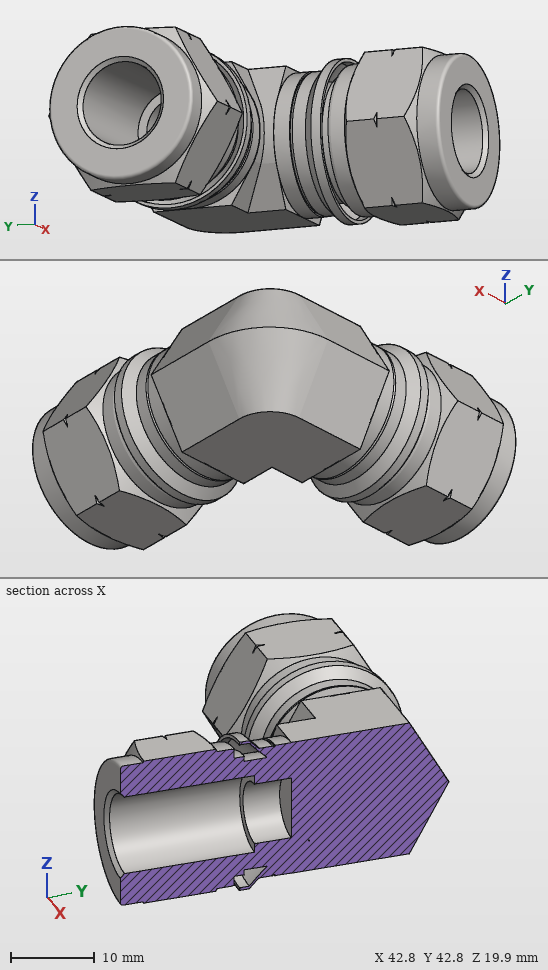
import cadquery as cq
import math

overall_size = 42.8
nut_flats = 19.05
nut_corner_radius = nut_flats / math.sqrt(3)
arm_length = overall_size - nut_corner_radius

body_flats = 17.55
body_corner_radius = body_flats / math.sqrt(3)
body_half_length = 10.0
shank_diameter = 17.5
inner_rounding_diameter = 17.65
inner_trim = 8.0

nut_face_end = 3.0
nut_hex_end = 12.2
nut_tail_taper_start = 14.15
nut_tail_end = 14.55
collar_start = 15.2
neck_end = 15.85
collar_rim_end = 16.45
groove_start = 19.4
groove_width = 0.35
groove_depth = 0.15
body_face = arm_length - body_half_length

nut_face_diameter = 18.7
nut_tail_diameter = 18.4
neck_diameter = 15.9
undercut_diameter = 14.6
collar_diameter = 19.9
collar_recess_diameter = 19.05
ring_diameter = 17.4
nut_face_round = 0.43
nut_tail_taper = 0.1

hex_chamfer_angle = 30
mark_width = 0.4
mark_depth = 0.45

socket_diameter = 10.2
socket_depth = 17.1
bore_diameter = 7.9
bore_end = body_face
mouth_chamfer = 0.535


def revolve_about_x(points):
    """Revolve (station, radius) points about the arm axis."""
    placed = [(station - arm_length, radius) for station, radius in points]
    return cq.Workplane("XY").polyline(placed).close().revolve(360, (0, 0, 0), (1, 0, 0))


def cylinder_along_arm(start, end, diameter):
    radius = diameter / 2
    return revolve_about_x([(start, 0), (start, radius), (end, radius), (end, 0)])


def hexagon_along_arm(start, end, corner_radius):
    return (
        cq.Workplane("YZ", origin=(start - arm_length, 0, 0))
        .polygon(6, 2 * corner_radius)
        .extrude(end - start)
    )


def nut_hexagon():
    """Hexagon with both ends coned down to the flats and a V mark around its corners."""
    flat_radius = nut_flats / 2
    slope = math.tan(math.radians(hex_chamfer_angle))
    corner_setback = (nut_corner_radius - flat_radius) * slope
    tail_setback = (flat_radius - nut_tail_diameter / 2) * slope
    face_setback = (flat_radius - nut_face_diameter / 2) * slope
    middle = (nut_face_end + nut_hex_end) / 2
    envelope = revolve_about_x([
        (nut_face_end - face_setback, 0),
        (nut_face_end - face_setback, nut_face_diameter / 2),
        (nut_face_end + corner_setback, nut_corner_radius),
        (middle - mark_width / 2, nut_corner_radius),
        (middle, nut_corner_radius - mark_depth),
        (middle + mark_width / 2, nut_corner_radius),
        (nut_hex_end - corner_setback, nut_corner_radius),
        (nut_hex_end + tail_setback, nut_tail_diameter / 2),
        (nut_hex_end + tail_setback, 0),
    ])
    return hexagon_along_arm(0, nut_tail_end, nut_corner_radius).intersect(envelope)


def nut():
    face = cylinder_along_arm(0, nut_face_end, nut_face_diameter)
    face = face.faces("<X").edges().fillet(nut_face_round)
    tail_radius = nut_tail_diameter / 2
    tail = revolve_about_x([
        (nut_face_end, 0),
        (nut_face_end, tail_radius),
        (nut_tail_taper_start, tail_radius),
        (nut_tail_end, tail_radius - nut_tail_taper),
        (nut_tail_end, 0),
    ])
    return face.union(tail).union(nut_hexagon())


def shank():
    """Undercut neck, cupped collar with 45 degree back walls, groove and round next to the body."""
    neck_radius = neck_diameter / 2
    undercut_radius = undercut_diameter / 2
    collar_radius = collar_diameter / 2
    recess_radius = collar_recess_diameter / 2
    ring_radius = ring_diameter / 2
    shank_radius = shank_diameter / 2
    return revolve_about_x([
        (nut_face_end, 0),
        (nut_face_end, neck_radius),
        (neck_end, neck_radius),
        (neck_end, undercut_radius),
        (collar_rim_end + recess_radius - undercut_radius, undercut_radius),
        (collar_rim_end, recess_radius),
        (collar_start, recess_radius),
        (collar_start, collar_radius),
        (collar_rim_end, collar_radius),
        (collar_rim_end + collar_radius - ring_radius, ring_radius),
        (groove_start, ring_radius),
        (groove_start + groove_width, ring_radius - groove_depth),
        (groove_start + groove_width, shank_radius),
        (body_face, shank_radius),
        (body_face, 0),
    ])


def bore():
    """Tube socket with a chamfered mouth and a smaller blind bore behind it."""
    socket_radius = socket_diameter / 2
    return revolve_about_x([
        (0, 0),
        (0, socket_radius + mouth_chamfer),
        (mouth_chamfer, socket_radius),
        (socket_depth, socket_radius),
        (socket_depth, bore_diameter / 2),
        (bore_end, bore_diameter / 2),
        (bore_end, 0),
    ])


def body_leg():
    """Hexagonal leg along -X, with its sharp inner corner rounded about the arm axis."""
    leg = hexagon_along_arm(body_face, arm_length, body_corner_radius)
    outer_width = inner_trim + body_corner_radius
    outer_side = cq.Workplane("XY", origin=(-body_half_length, -inner_trim, 0)).box(
        body_half_length, outer_width, body_flats, centered=(False, False, True)
    )
    envelope = outer_side.union(cylinder_along_arm(body_face, arm_length, inner_rounding_diameter))
    return leg.intersect(envelope)


def elbow_corner():
    """Half of the body hexagon revolved about Z to round the outside of the bend."""
    half_height = body_flats / 2
    return (
        cq.Workplane("XZ")
        .polyline([
            (0, -half_height),
            (body_corner_radius / 2, -half_height),
            (body_corner_radius, 0),
            (body_corner_radius / 2, half_height),
            (0, half_height),
        ])
        .close()
        .revolve(360, (0, 0, 0), (0, 1, 0))
    )


def turned_to_y(arm):
    """Turn a feature from the -X arm to the -Y arm."""
    return arm.rotate((0, 0, 0), (0, 0, 1), 90)


leg = body_leg()
body = elbow_corner().union(leg).union(turned_to_y(leg).mirror("YZ"))

arm = nut().union(shank())
result = body.union(arm).union(turned_to_y(arm))
result = result.cut(bore()).cut(turned_to_y(bore()))